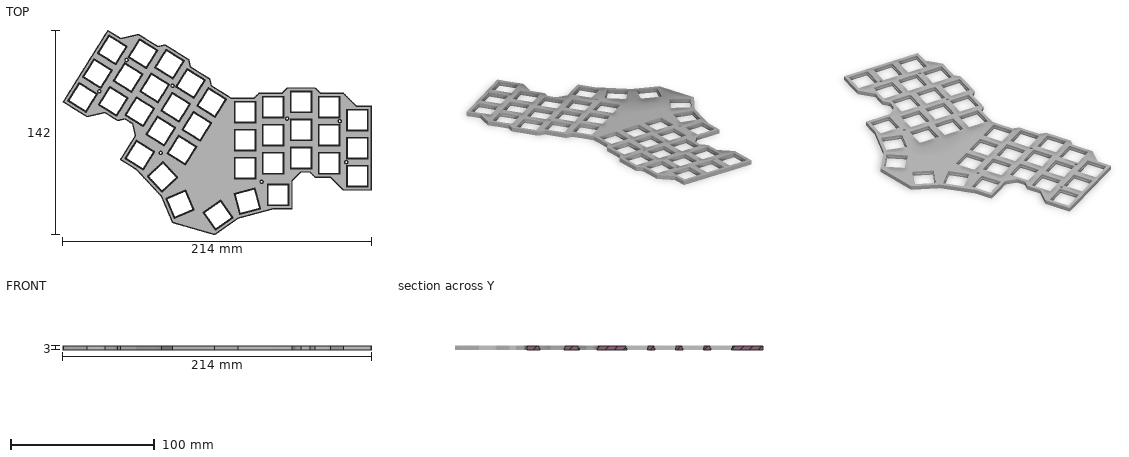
import cadquery as cq
import math


overall_width = 214.0
plate_thickness = 3.0
hand_angle = 32.0
center_line_angle = 90.0 - hand_angle / 2

column_offsets = [0, 3.5, 7.0, 3.5, -5.5]
columns = len(column_offsets)
last_column = columns - 1
rows = 3
middle_column = 2
turn_sine = math.sin(math.radians(hand_angle))
turn_cosine = math.cos(math.radians(hand_angle))
pitches_across = columns * (1 + turn_cosine) + rows * turn_sine
key_pitch = (overall_width + column_offsets[last_column] * turn_sine) / pitches_across
edge_margin = key_pitch / 2
thumb_keys = [
    (32.8, -67.2, 0),
    (11.3, -71.7, 15),
    (-9.0, -81.4, 35),
]

opening_size = 14.0
recess_size = 15.0
recess_depth = 1.7

screw_diameter = 2.1
screw_places = [(39.0, -14.3), (75.5, -16.0), (80.0, -44.5), (21.2, -58.2)]


def reflect(point):
    """Reflect a point of the right hand across the centre line."""
    double_angle = math.radians(2 * center_line_angle)
    x, y = point
    return (
        x * math.cos(double_angle) + y * math.sin(double_angle),
        x * math.sin(double_angle) - y * math.cos(double_angle),
    )


def column_x(column):
    return edge_margin + column * key_pitch


def column_left(column):
    """X of the line halfway between a column and the one inside it."""
    return column_x(column) - key_pitch / 2


def column_back(column):
    """Y of the plate edge behind a column."""
    return column_offsets[column]


def column_front(column):
    """Y of the plate edge in front of a column."""
    return column_offsets[column] - rows * key_pitch


def thumb_point(key, across, along):
    """A point given by its offsets in a thumb key's own turned axes."""
    x, y, turn = key
    cos_turn = math.cos(math.radians(turn))
    sin_turn = math.sin(math.radians(turn))
    return (x + across * cos_turn - along * sin_turn, y + across * sin_turn + along * cos_turn)


def thumb_edge_crossing(first, second):
    """Where the front edges beside two neighbouring thumb keys cross."""
    start = thumb_point(first, 0, -edge_margin)
    other = thumb_point(second, 0, -edge_margin)
    direction = math.radians(first[2])
    normal = math.radians(second[2] + 90)
    gap = (other[0] - start[0]) * math.cos(normal) + (other[1] - start[1]) * math.sin(normal)
    distance = gap / math.cos(direction - normal)
    return (start[0] + distance * math.cos(direction), start[1] + distance * math.sin(direction))


def back_edge():
    """Stepped back edge: each taller column drops to its neighbour at 45 degrees."""
    points = []
    for column in range(1, columns):
        boundary = column_left(column)
        inner = column_back(column - 1)
        outer = column_back(column)
        rise = outer - inner
        if rise > 0:
            points += [(boundary - rise, inner), (boundary, outer)]
        else:
            points += [(boundary, inner), (boundary - rise, outer)]
    return points


def front_edge():
    """Front edge from the outer column to the thumb keys, with 45 degree steps."""
    points = []
    for column in range(last_column, middle_column, -1):
        boundary = column_left(column)
        rise = column_front(column - 1) - column_front(column)
        points += [(boundary, column_front(column)), (boundary - rise, column_front(column - 1))]
    thumb_corner = thumb_point(thumb_keys[0], edge_margin, edge_margin)
    rise = column_front(middle_column) - thumb_corner[1]
    points += [(thumb_corner[0] + rise, column_front(middle_column)), thumb_corner]
    return points


def hand_outline():
    """Edge of the right hand, from the back of the centre line round to the front."""
    outer_x = column_x(last_column) + edge_margin
    first, middle, last = thumb_keys
    outer_side = [(outer_x, column_back(last_column)), (outer_x, column_front(last_column))]
    thumb_side = [
        thumb_point(first, edge_margin, -edge_margin),
        thumb_edge_crossing(first, middle),
        thumb_edge_crossing(middle, last),
        thumb_point(last, -edge_margin, -edge_margin),
    ]
    return back_edge() + outer_side + front_edge() + thumb_side


def hand_keys():
    """Centre and turn of every key of the right hand."""
    keys = []
    for column in range(columns):
        for row in range(rows):
            y = column_back(column) - edge_margin - row * key_pitch
            keys.append((column_x(column), y, 0))
    return keys + thumb_keys


def square_cuts(keys, size, depth):
    """Square blocks reaching down from the top face, one at each key."""
    return cq.Workplane(cq.Compound.makeCompound([square_cut(key, size, depth) for key in keys]))


def square_cut(key, size, depth):
    x, y, turn = key
    block = cq.Workplane("XY").rect(size, size).extrude(-depth)
    return block.rotate((0, 0, 0), (0, 0, 1), turn).translate((x, y, 0)).val()


def both_hands_keys():
    keys = hand_keys()
    mirrored = [(*reflect((x, y)), 2 * center_line_angle - turn) for x, y, turn in keys]
    return keys + mirrored


right_edge = hand_outline()
left_edge = [reflect(point) for point in reversed(right_edge)]
outline = [(0, 0)] + right_edge + left_edge
plate = cq.Workplane("XY").polyline(outline).close().extrude(-plate_thickness)

keys = both_hands_keys()
plate = plate.cut(square_cuts(keys, recess_size, recess_depth))
plate = plate.cut(square_cuts(keys, opening_size, plate_thickness))

screw_holes = (
    cq.Workplane("XY")
    .pushPoints(screw_places + [reflect(place) for place in screw_places])
    .circle(screw_diameter / 2)
    .extrude(-plate_thickness)
)
result = plate.cut(screw_holes)